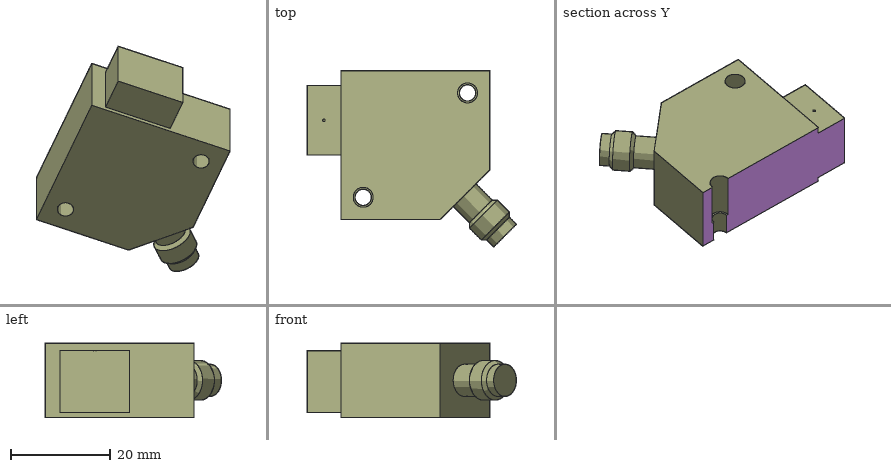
import cadquery as cq
import math

housing_side = 30.0
housing_height = 15.0
corner_cut = 10.0

head_length = 6.8
head_width = 14.0
head_height = 12.5
head_center_z = -0.25
head_center_y = 20.0

pinhole_diameter = 0.5
pinhole_depth = 2.0
drill_point_angle = 118.0

thread_diameter = 4.0
drill_diameter = 3.24
thread_depth = 10.0
hole_inset = 4.5
hole_spacing = 21.0

stem_diameter = 6.5
collar_diameter = 8.0
collar_chamfer = (collar_diameter - stem_diameter) / 2
collar_start = 4.6
collar_length = 4.9
connector_length = 11.5
connector_offset = 0.127


def build_pinhole_cutter(head_top):
    """Drill shape with a conical point, turned about the vertical axis at the middle of the head."""
    radius = pinhole_diameter / 2
    point_length = radius / math.tan(math.radians(drill_point_angle / 2))
    return (
        cq.Workplane("XZ", origin=(-head_length / 2, head_center_y, head_top))
        .moveTo(0, 0)
        .lineTo(radius, 0)
        .lineTo(radius, -pinhole_depth)
        .lineTo(0, -pinhole_depth - point_length)
        .close()
        .revolve(360, (0, 0, 0), (0, 1, 0))
    )


def build_housing():
    """Square block with one corner cut, its sensing head and its mounting holes."""
    bottom = -housing_height / 2
    top = housing_height / 2
    block = (
        cq.Workplane("XY", origin=(0, 0, bottom))
        .moveTo(0, 0)
        .lineTo(housing_side - corner_cut, 0)
        .lineTo(housing_side, corner_cut)
        .lineTo(housing_side, housing_side)
        .lineTo(0, housing_side)
        .close()
        .extrude(housing_height)
    )
    head = cq.Workplane("XY", origin=(-head_length / 2, head_center_y, head_center_z)).box(
        head_length, head_width, head_height
    )
    head_top = head_center_z + head_height / 2
    hole_near = hole_inset
    hole_far = hole_inset + hole_spacing
    holes = (
        cq.Workplane("XY", origin=(0, 0, top))
        .pushPoints([(hole_near, hole_near), (hole_far, hole_far)])
    )
    threads = holes.circle(thread_diameter / 2).extrude(-thread_depth)
    drills = holes.circle(drill_diameter / 2).extrude(-housing_height)
    return block.union(head).cut(build_pinhole_cutter(head_top)).cut(threads).cut(drills)


def build_connector():
    """Round plug with a chamfered collar, standing just off the middle of the cut corner."""
    stem_radius = stem_diameter / 2
    collar_radius = collar_diameter / 2
    collar_end = collar_start + collar_length
    shift = connector_offset * math.sqrt(0.5)
    base_x = housing_side - corner_cut / 2 - shift
    base_y = corner_cut / 2 - shift
    base = cq.Plane(origin=(base_x, base_y, 0), xDir=(1, 1, 0), normal=(0, 0, -1))
    return (
        cq.Workplane(base)
        .moveTo(0, 0)
        .lineTo(stem_radius, 0)
        .lineTo(stem_radius, collar_start)
        .lineTo(collar_radius, collar_start + collar_chamfer)
        .lineTo(collar_radius, collar_end - collar_chamfer)
        .lineTo(stem_radius, collar_end)
        .lineTo(stem_radius, connector_length)
        .lineTo(0, connector_length)
        .close()
        .revolve(360, (0, 0, 0), (0, 1, 0))
    )


housing = build_housing()
connector = build_connector()
result = cq.Compound.makeCompound([housing.val(), connector.val()])